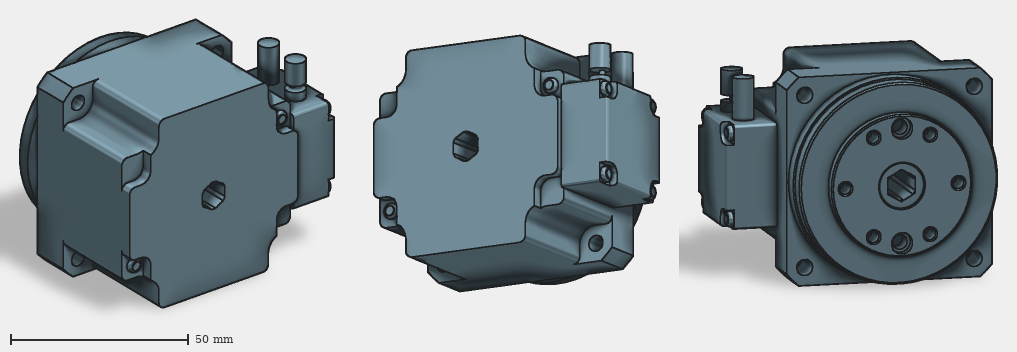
import cadquery as cq
import math


length = 56.0
body_half = 30.0
box_top = 45.0

output_dia = 41.0
output_height = 3.5
output_chamfer = 0.45
pilot_dia = 58.0
pilot_end = 8.5
pilot_chamfer = 0.5
shoulder_dia = 59.0
body_start = 13.5

corner_turning_dia = 80.0
relief_start = 25.5
relief_wall = 19.5
relief_radius = 5.0
lip_radius = 2.0
mount_hole_dia = 4.6
mount_hole_offset = 24.75

recess_dia = 13.0
recess_depth = 0.5
recess_chamfer = 0.3
hex_across_flats = 8.0
hex_corner_dia = 8.6
mouth_corner_dia = 9.15
mouth_depth = 0.2
hole_circle_radius = 16.5
thread_hole_count = 6
thread_hole_dia = 3.3
thread_hole_depth = 8.0
thread_countersink_dia = 4.2
drill_point_angle = 118.0
pin_counterbore_dia = 6.1
pin_counterbore_depth = 2.25
pin_hole_dia = 4.2
pin_hole_depth = 7.5

screw_head_dia = 4.5
screw_head_height = 1.35
screw_head_rounding = 0.75
screw_crown_dia = 2.85
screw_crown_height = 0.3

rear_pocket_depth = 3.5
rear_pocket_radius = 3.5
rear_screw_y = 25.95
rear_screw_z = 15.1

box_size = 30.0
box_start = 24.0
box_rounding = 1.0
box_pocket_depth = 2.5
box_pocket_radius = 3.0
box_screw_offset = 12.4
box_center_x = box_start + box_size / 2

cable_dia = 6.1
cable_y = 37.5
cable_spacing = 12.4
cable_top = 27.0
stripped_bottom = 17.8
stripped_top = 19.8
core_dia = 1.7
core_offset = -1.3

margin = 0.75
corner_signs = [(1, 1), (1, -1), (-1, 1), (-1, -1)]


def plane_at(x):
    """Workplane across the axis at x: local axes are Y and Z, extruding towards +X."""
    return cq.Workplane("YZ", origin=(x, 0, 0))


def disc(dia, start, end):
    return plane_at(start).circle(dia / 2).extrude(end - start)


def turned(profile):
    """Revolve an outline of (X, radius) points around the X axis."""
    return cq.Workplane("XY").polyline(profile).close().revolve(360, (0, 0, 0), (1, 0, 0))


def arc(path, center, radius, from_deg, to_deg):
    """Continue a path along an arc that starts at its current point."""
    points = []
    for angle in ((from_deg + to_deg) / 2, to_deg):
        a = math.radians(angle)
        points.append((center[0] + radius * math.cos(a), center[1] + radius * math.sin(a)))
    return path.threePointArc(*points)


def mirrored_to_corner(shape, y_sign, z_sign):
    """Move a shape from the +Y +Z corner to the corner with the given signs."""
    if y_sign < 0:
        shape = shape.mirror("XZ")
    if z_sign < 0:
        shape = shape.mirror("XY")
    return shape


def make_front():
    output = disc(output_dia, 0, output_height).faces("<X").chamfer(output_chamfer)
    pilot = disc(pilot_dia, output_height, pilot_end).faces("<X").chamfer(pilot_chamfer)
    shoulder = disc(shoulder_dia, pilot_end, body_start)
    return output.union(pilot).union(shoulder)


def make_relief():
    """Cutter for the lengthwise relief of the +Y +Z corner."""
    outside = body_half + margin
    lip = body_half - lip_radius
    lip_start = relief_wall - lip_radius
    arc_center = relief_wall + relief_radius
    path = plane_at(relief_start).moveTo(lip_start, outside).lineTo(lip_start, body_half)
    path = arc(path, (lip_start, lip), lip_radius, 90, 0).lineTo(relief_wall, arc_center)
    path = arc(path, (arc_center, arc_center), relief_radius, 180, 270).lineTo(lip, relief_wall)
    path = arc(path, (lip, lip_start), lip_radius, 90, 0).lineTo(outside, lip_start)
    return path.lineTo(outside, outside).close().extrude(length + margin - relief_start)


def make_rear_pocket():
    """Cutter for the screw pocket beside the relief, at the rear of the +Y +Z corner."""
    outside = body_half + margin
    top = relief_wall + margin
    lip = body_half - lip_radius
    wall_y = rear_screw_y - rear_pocket_radius
    wall_z = rear_screw_z - rear_pocket_radius
    lip_start = wall_z - lip_radius
    path = plane_at(length - rear_pocket_depth).moveTo(wall_y, top).lineTo(wall_y, rear_screw_z)
    path = arc(path, (rear_screw_y, rear_screw_z), rear_pocket_radius, 180, 270).lineTo(lip, wall_z)
    path = arc(path, (lip, lip_start), lip_radius, 90, 0).lineTo(outside, lip_start)
    return path.lineTo(outside, top).close().extrude(rear_pocket_depth + margin)


def make_body():
    block = plane_at(body_start).rect(2 * body_half, 2 * body_half).extrude(length - body_start)
    body = block.intersect(disc(corner_turning_dia, body_start, length))
    relief = make_relief()
    pocket = make_rear_pocket()
    for y_sign, z_sign in corner_signs:
        body = body.cut(mirrored_to_corner(relief, y_sign, z_sign))
        body = body.cut(mirrored_to_corner(pocket, y_sign, z_sign))
    mount_holes = (
        plane_at(body_start)
        .rect(2 * mount_hole_offset, 2 * mount_hole_offset, forConstruction=True)
        .vertices()
        .circle(mount_hole_dia / 2)
        .extrude(length - body_start)
    )
    return body.cut(mount_holes)


def make_screw_head(base_plane):
    """Rounded head with a low crown, standing on a workplane."""
    head = base_plane.circle(screw_head_dia / 2).extrude(screw_head_height)
    outer_face = cq.DirectionMinMaxSelector(base_plane.plane.zDir, True)
    head = head.faces(outer_face).edges().fillet(screw_head_rounding)
    crown = base_plane.circle(screw_crown_dia / 2).extrude(screw_head_height + screw_crown_height)
    return head.union(crown)


def make_rear_screws():
    """Two screw heads, in diagonally opposite pockets."""
    floor = plane_at(length - rear_pocket_depth)
    first = make_screw_head(floor.center(rear_screw_y, rear_screw_z))
    second = make_screw_head(floor.center(-rear_screw_y, -rear_screw_z))
    return first.union(second)


def make_connector_box():
    box = (
        cq.Workplane("XY")
        .box(box_size, box_top - body_half, box_size)
        .translate((box_center_x, (box_top + body_half) / 2, 0))
        .edges("|Y or >Y")
        .fillet(box_rounding)
    )
    floor_y = box_top - box_pocket_depth
    pocket_size = box_size / 2 + margin - box_screw_offset + box_pocket_radius
    pocket_middle = box_screw_offset - box_pocket_radius + pocket_size / 2
    for x_sign, z_sign in corner_signs:
        inner_x = "<X" if x_sign > 0 else ">X"
        inner_z = "<Z" if z_sign > 0 else ">Z"
        pocket = (
            cq.Workplane("XY")
            .box(pocket_size, box_pocket_depth + margin, pocket_size)
            .faces(inner_x)
            .edges(inner_z)
            .fillet(box_pocket_radius)
            .translate((
                box_center_x + x_sign * pocket_middle,
                floor_y + (box_pocket_depth + margin) / 2,
                z_sign * pocket_middle,
            ))
        )
        screw_x = box_center_x + x_sign * box_screw_offset
        screw_spot = (screw_x, floor_y, z_sign * box_screw_offset)
        floor = cq.Workplane(cq.Plane(origin=screw_spot, xDir=(1, 0, 0), normal=(0, 1, 0)))
        box = box.cut(pocket).union(make_screw_head(floor))
    return box


def upright(x, dia, bottom, top):
    """Vertical cylinder on the line of the cables."""
    return cq.Workplane("XY", origin=(x, cable_y, bottom)).circle(dia / 2).extrude(top - bottom)


def make_cables():
    """Two cables leaving the box upwards; the rear one is stripped to one core for a short stretch."""
    root = box_size / 2 - margin
    front_x = box_center_x - cable_spacing / 2
    rear_x = box_center_x + cable_spacing / 2
    front_cable = upright(front_x, cable_dia, root, cable_top)
    rear_root = upright(rear_x, cable_dia, root, stripped_bottom)
    core = upright(rear_x + core_offset, core_dia, root, cable_top)
    rear_end = upright(rear_x, cable_dia, stripped_top, cable_top)
    return front_cable.union(rear_root).union(core).union(rear_end)


def make_recess():
    """Shallow round recess with a bevelled mouth around the hexagonal bore."""
    radius = recess_dia / 2
    mouth_radius = radius + recess_chamfer
    profile = [(0, 0), (0, mouth_radius), (recess_chamfer, radius),
               (recess_depth, radius), (recess_depth, 0)]
    return turned(profile)


def make_thread_hole():
    """Blind hole on the X axis with a countersunk mouth and a drill point."""
    radius = thread_hole_dia / 2
    mouth_radius = thread_countersink_dia / 2
    tip = thread_hole_depth + radius / math.tan(math.radians(drill_point_angle / 2))
    profile = [(0, 0), (0, mouth_radius), (mouth_radius - radius, radius),
               (thread_hole_depth, radius), (tip, 0)]
    return turned(profile)


def make_output_face_cuts():
    hexagon = plane_at(0).polygon(6, hex_across_flats, circumscribed=True).extrude(length)
    mouth = hexagon.intersect(disc(mouth_corner_dia, 0, recess_depth + mouth_depth))
    bore = hexagon.intersect(disc(hex_corner_dia, 0, length))
    cuts = make_recess().union(mouth).union(bore)
    thread_hole = make_thread_hole().translate((0, hole_circle_radius, 0))
    for i in range(thread_hole_count):
        angle = i * 360 / thread_hole_count
        cuts = cuts.union(thread_hole.rotate((0, 0, 0), (1, 0, 0), angle))
    pin_counterbore = disc(pin_counterbore_dia, 0, pin_counterbore_depth)
    pin_hole = pin_counterbore.union(disc(pin_hole_dia, 0, pin_hole_depth))
    for side in (-1, 1):
        cuts = cuts.union(pin_hole.translate((0, 0, side * hole_circle_radius)))
    return cuts


result = (
    make_front()
    .union(make_body())
    .union(make_connector_box())
    .union(make_rear_screws())
    .union(make_cables())
    .cut(make_output_face_cuts())
)